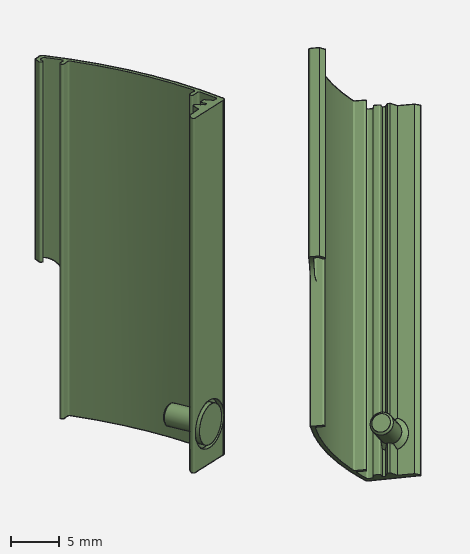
import cadquery as cq
import math

WIDTH = 22.0
HEIGHT = 7.25
LENGTH = 40.0

PANEL_RADIUS = 45.2
PANEL_CROWN_X = 11.2
PANEL_WALL = 0.5
CORNER_ROUND = 0.4

HOOK_WALL = 0.5
HOOK_BEND_Y = 4.7
HOOK_LIP_LENGTH = 1.0
HOOK_LIP_ANGLE = 30.0
HOOK_LIP_WALL = 0.45
HOOK_TIP_ROUND = 0.15
HOOK_INNER_ROUND = 0.3

RIB_WALL = 0.5
RIB_TIP_Y = 4.9
LEFT_RIB_X = 2.7
RIGHT_RIB_X = 18.2
RIB_TIP_ROUND = 0.2
RIB_BASE_ROUND = 0.2

WALL_INNER_X = 20.9
WALL_TIP_LEFT_X = 21.4
WALL_TIP_RIGHT_X = 21.75
WALL_TIP_CHAMFER_Y = 0.5
WALL_ROUND = 0.15
BAY_X = 21.15
BAY_LOWER_Y = 5.0
BAY_ROUND = 0.25
LEDGE_X = 20.15
LEDGE_TOP_Y = 4.65
LEDGE_BOTTOM_Y = 3.9
RIDGE_Y = 2.95
RIDGE_TIP_X = 19.95
RIDGE_TIP_WIDTH = 0.3
RIDGE_BASE_WIDTH = 1.3

NOTCH_HEIGHT = 17.45
NOTCH_CORNER_RADIUS = 2.0

PIN_Y = 2.9
PIN_Z = 4.5
PIN_END_X = 16.95
PIN_DIAMETER = 2.5
PIN_CHAMFER = 0.25
HEAD_DIAMETER = 4.5
HEAD_SEAT_X = 21.35
HEAD_CLEARANCE_DIAMETER = 5.35

PANEL_CENTER_Y = HEIGHT - PANEL_RADIUS
PIN_RADIUS = PIN_DIAMETER / 2
HEAD_RADIUS = HEAD_DIAMETER / 2
CONE_START_X = HEAD_SEAT_X - (HEAD_RADIUS - PIN_RADIUS)


def arch_y(x, radius):
    """Height at x of an arc concentric with the bowed panel."""
    return PANEL_CENTER_Y + math.sqrt(radius**2 - (x - PANEL_CROWN_X) ** 2)


def outer_y(x):
    return arch_y(x, PANEL_RADIUS)


def inner_y(x):
    return arch_y(x, PANEL_RADIUS - PANEL_WALL)


def middle_y(x):
    return arch_y(x, PANEL_RADIUS - PANEL_WALL / 2)


def extrude_outline(points):
    return cq.Workplane("XY").polyline(points).close().extrude(LENGTH)


def round_edges(body, points, radius):
    """Round the lengthwise edges that pass closest to the given points."""
    for x, y in points:
        nearest = cq.selectors.NearestToPointSelector((x, y, LENGTH / 2))
        body = body.edges("|Z").edges(nearest).fillet(radius)
    return body


def make_panel():
    return (
        cq.Workplane("XY")
        .moveTo(0, outer_y(0))
        .threePointArc((PANEL_CROWN_X, HEIGHT), (WIDTH, outer_y(WIDTH)))
        .lineTo(WIDTH, inner_y(WIDTH))
        .threePointArc((PANEL_CROWN_X, HEIGHT - PANEL_WALL), (0, inner_y(0)))
        .close()
        .extrude(LENGTH)
    )


def make_hook():
    angle = math.radians(HOOK_LIP_ANGLE)
    tip_x = HOOK_LIP_LENGTH * math.cos(angle)
    tip_y = HOOK_BEND_Y - HOOK_LIP_LENGTH * math.sin(angle)
    upper_tip = (tip_x + HOOK_LIP_WALL * math.sin(angle), tip_y + HOOK_LIP_WALL * math.cos(angle))
    bend_y = upper_tip[1] + (upper_tip[0] - HOOK_WALL) * math.tan(angle)
    hook = extrude_outline([
        (0, middle_y(0)),
        (0, HOOK_BEND_Y),
        (tip_x, tip_y),
        upper_tip,
        (HOOK_WALL, bend_y),
        (HOOK_WALL, middle_y(HOOK_WALL)),
    ])
    return round_edges(hook, [(tip_x, tip_y), upper_tip, (HOOK_WALL, bend_y)], HOOK_TIP_ROUND)


def make_rib(left_x):
    right_x = left_x + RIB_WALL
    rib = extrude_outline([
        (left_x, middle_y(left_x)),
        (left_x, RIB_TIP_Y),
        (right_x, RIB_TIP_Y),
        (right_x, middle_y(right_x)),
    ])
    return round_edges(rib, [(left_x, RIB_TIP_Y), (right_x, RIB_TIP_Y)], RIB_TIP_ROUND)


def make_side_wall():
    wall_tips = [(WALL_TIP_LEFT_X, 0), (WALL_TIP_RIGHT_X, 0)]
    inner_corners = [(BAY_X, BAY_LOWER_Y), (LEDGE_X, LEDGE_TOP_Y), (LEDGE_X, LEDGE_BOTTOM_Y)]
    wall = extrude_outline([
        (WIDTH, outer_y(WIDTH)),
        (BAY_X, middle_y(BAY_X)),
        *inner_corners,
        (WALL_INNER_X, LEDGE_BOTTOM_Y),
        (WALL_INNER_X, RIDGE_Y + RIDGE_BASE_WIDTH / 2),
        (RIDGE_TIP_X, RIDGE_Y + RIDGE_TIP_WIDTH / 2),
        (RIDGE_TIP_X, RIDGE_Y - RIDGE_TIP_WIDTH / 2),
        (WALL_INNER_X, RIDGE_Y - RIDGE_BASE_WIDTH / 2),
        (WALL_INNER_X, WALL_TIP_CHAMFER_Y),
        *wall_tips,
    ])
    return round_edges(wall, wall_tips + inner_corners, WALL_ROUND)


def make_notch():
    """Block that removes the hooked edge below the notch height, up to the left rib."""
    notch = cq.Workplane("XY").box(LEFT_RIB_X, HEIGHT, NOTCH_HEIGHT, centered=False)
    return notch.edges(">X and >Z").fillet(NOTCH_CORNER_RADIUS)


def cylinder_on_pin_axis(start_x, end_x, diameter):
    plane = cq.Workplane("YZ", origin=(start_x, PIN_Y, PIN_Z))
    return plane.circle(diameter / 2).extrude(end_x - start_x)


def make_pin():
    return (
        cq.Workplane("XY", origin=(0, PIN_Y, PIN_Z))
        .polyline([
            (PIN_END_X, 0),
            (PIN_END_X, PIN_RADIUS - PIN_CHAMFER),
            (PIN_END_X + PIN_CHAMFER, PIN_RADIUS),
            (CONE_START_X, PIN_RADIUS),
            (HEAD_SEAT_X, HEAD_RADIUS),
            (WIDTH, HEAD_RADIUS),
            (WIDTH, 0),
        ])
        .close()
        .revolve(360, (0, 0, 0), (1, 0, 0))
    )


def make_cover(pin):
    cover = make_panel().union(make_hook()).union(make_side_wall())
    rib_bases = []
    for left_x in (LEFT_RIB_X, RIGHT_RIB_X):
        cover = cover.union(make_rib(left_x))
        rib_bases += [(x, inner_y(x)) for x in (left_x, left_x + RIB_WALL)]

    cover = round_edges(cover, [(0, outer_y(0)), (WIDTH, outer_y(WIDTH))], CORNER_ROUND)
    cover = round_edges(cover, [(HOOK_WALL, inner_y(HOOK_WALL))], HOOK_INNER_ROUND)
    cover = round_edges(cover, [(BAY_X, inner_y(BAY_X))], BAY_ROUND)
    cover = round_edges(cover, rib_bases, RIB_BASE_ROUND)
    cover = cover.cut(make_notch())

    clearance = cylinder_on_pin_axis(HEAD_SEAT_X, WIDTH, HEAD_CLEARANCE_DIAMETER)
    return cover.cut(clearance).cut(pin)


pin = make_pin()
cover = make_cover(pin)

result = cq.Compound.makeCompound([cover.solids().val(), pin.val()])